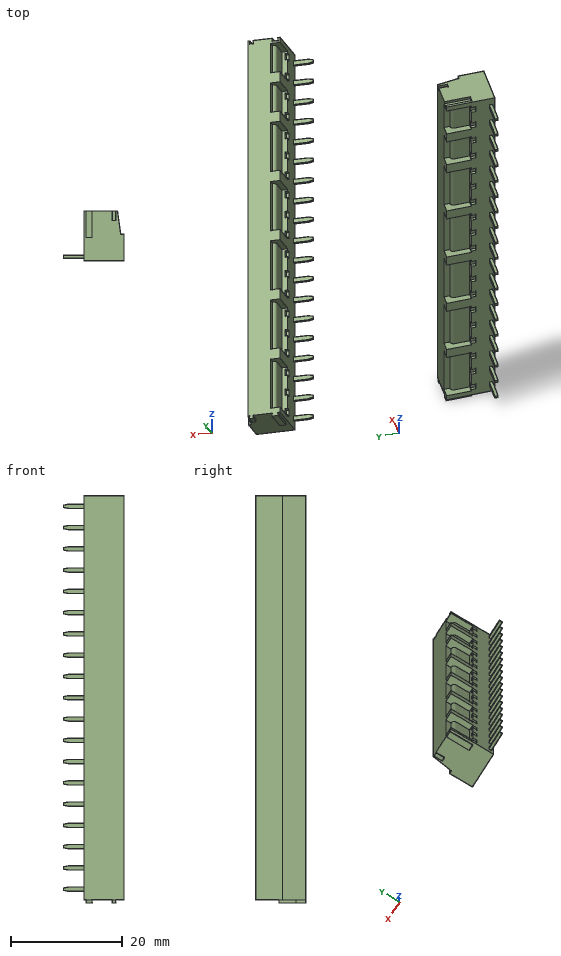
import cadquery as cq

pin_count = 19
overall_length = 72.95
body_length = 72.35
pitch = body_length / pin_count
pin_length = 3.65
pin_thickness = 0.6
pin_width = 0.8
pin_tip_length = 0.9
pin_tip_width = 0.45
pin_offset = 0.7

body_width = 7.2
body_depth = 9.0
shoulder_depth = 4.8
neck_width = 6.65
mouth_width = 6.05

pins_per_pocket = [3, 3, 3, 3, 3, 2, 2]
rib_width = 2.0
pocket_reach = 4.6
pocket_floor = 1.1
lip_floor = 1.75
lip_reach = 1.1
lip_radius = lip_floor - pocket_floor

notch_floor = 0.5
notch_width = 1.2
notch_reach = 0.9

key_height = overall_length - body_length
key_flare = 0.1

wide_key_middle = 0.95
wide_key_root = 1.0
wide_key_length = 4.8

narrow_key_middle = 5.4
narrow_key_root = 0.6
narrow_key_length = 1.75


def make_body():
    return (
        cq.Workplane("XY")
        .lineTo(body_width, 0)
        .lineTo(body_width, shoulder_depth)
        .lineTo(neck_width, shoulder_depth)
        .lineTo(mouth_width, body_depth)
        .lineTo(0, body_depth)
        .close()
        .extrude(body_length)
    )


def make_pocket(bottom, top):
    """Pocket whose floor drops over a rounded edge to a deeper lip at the open side."""
    lip_start = body_depth - lip_reach
    pocket_end = body_depth - pocket_reach
    return (
        cq.Workplane("XY", origin=(0, 0, bottom))
        .moveTo(0, body_depth)
        .lineTo(lip_floor, body_depth)
        .lineTo(lip_floor, lip_start)
        .radiusArc((pocket_floor, lip_start - lip_radius), -lip_radius)
        .lineTo(pocket_floor, pocket_end)
        .lineTo(0, pocket_end)
        .close()
        .extrude(top - bottom)
    )


def make_notch(middle):
    corner = (0, body_depth - pocket_reach - notch_reach, middle - notch_width / 2)
    return cq.Workplane("XY", origin=corner).box(notch_floor, notch_reach, notch_width, centered=False)


def make_pin(middle):
    """Flat pin standing out towards -X, tapered in width at its tip."""
    shank_end = pin_tip_length - pin_length
    return (
        cq.Workplane("XZ", origin=(0, pin_offset, middle))
        .moveTo(0, pin_width / 2)
        .lineTo(shank_end, pin_width / 2)
        .lineTo(-pin_length, pin_tip_width / 2)
        .lineTo(-pin_length, -pin_tip_width / 2)
        .lineTo(shank_end, -pin_width / 2)
        .lineTo(0, -pin_width / 2)
        .close()
        .extrude(pin_thickness / 2, both=True)
    )


def make_dovetail(middle, root_width, length, root_z):
    """Bar that widens downwards from root_z and runs back from the +Y face."""
    half_root = root_width / 2
    half_tip = half_root + key_flare
    return (
        cq.Workplane("XZ", origin=(middle, body_depth, root_z))
        .moveTo(-half_root, 0)
        .lineTo(half_root, 0)
        .lineTo(half_tip, -key_height)
        .lineTo(-half_tip, -key_height)
        .close()
        .extrude(length)
    )


result = make_body()

first_pin = 0
for pins in pins_per_pocket:
    next_pin = first_pin + pins
    pocket = make_pocket(first_pin * pitch + rib_width / 2, next_pin * pitch - rib_width / 2)
    result = result.cut(pocket)
    first_pin = next_pin

for index in range(pin_count):
    pin_middle = (index + 0.5) * pitch
    result = result.cut(make_notch(pin_middle))
    result = result.union(make_pin(pin_middle))

dovetails = [
    (wide_key_middle, wide_key_root, wide_key_length),
    (narrow_key_middle, narrow_key_root, narrow_key_length),
]
for middle, root_width, length in dovetails:
    result = result.cut(make_dovetail(middle, root_width, length, body_length))
    result = result.union(make_dovetail(middle, root_width, length, 0))